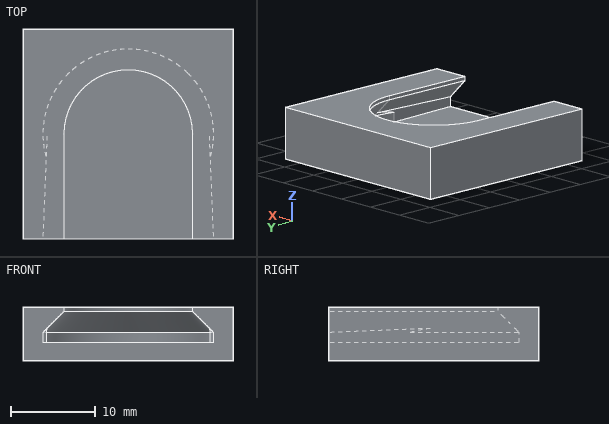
import cadquery as cq
import math

side = 25
height = 6.4

lip_radius = 7.65
wall_radius = 10.15
lip_depth = 0.5
wall_height = 1.2
undercut_depth = wall_radius - lip_radius

pinch_distance = 2.8
pinch_half_width = math.sqrt(wall_radius**2 - pinch_distance**2)

lip_bottom = height - lip_depth
wall_top = lip_bottom - undercut_depth
floor = wall_top - wall_height
front = -side / 2


def half_section():
    """Half of the slot section, to the right of its centre line."""
    return cq.Workplane("XZ").polyline([
        (0, floor),
        (wall_radius, floor),
        (wall_radius, wall_top),
        (lip_radius, lip_bottom),
        (lip_radius, height),
        (0, height),
    ]).close()


def tapered_limit():
    """Prism that narrows the straight run towards the round end."""
    taper = (wall_radius - pinch_half_width) / (-pinch_distance - front)
    centre_half_width = pinch_half_width - taper * pinch_distance
    return (
        cq.Workplane("XY")
        .polyline([
            (-wall_radius, front),
            (wall_radius, front),
            (centre_half_width, 0),
            (-centre_half_width, 0),
        ])
        .close()
        .extrude(height)
    )


block = cq.Workplane("XY").box(side, side, height, centered=(True, True, False))

round_end = half_section().revolve(360, (0, 0), (0, 1))

half_run = half_section().extrude(-front)
straight_run = half_run.union(half_run.mirror("YZ")).intersect(tapered_limit())

result = block.cut(round_end).cut(straight_run)